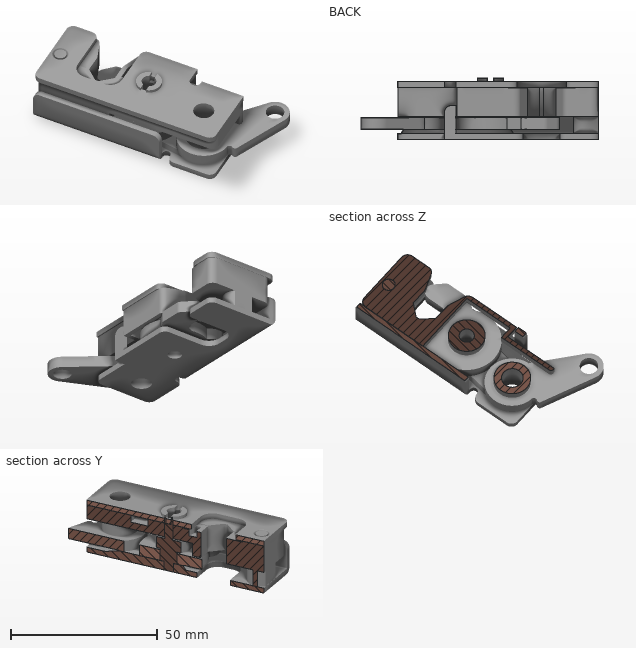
import cadquery as cq
import math

LENGTH = 68.45
WIDTH = 28.0
SHEET = 2.0
CORNER_R = 2.5
COVER_TOP = 19.85
COVER_BOTTOM = COVER_TOP - SHEET

LATCH_AXIS = (36.9, 14.5)
LEVER_AXIS = (59.5, 11.0)
RIVET_AXIS = (3.5, 13.8)

MOUTH_X = 19.45
COVER_MOUTH_W = 16.85
MOUTH_FLOOR = 7.5
MOUTH_FLOOR_R = 4.45
BRACKET_MOUTH_W = 12.6
MOUTH_LIP_R = 2.4

TAB_X0 = 48.6
TAB_W = 4.0
TAB_X1 = TAB_X0 + TAB_W
NOTCH_FLOOR = 20.5
COVER_STEP_Y = 23.4
BRACKET_STEP_Y = 23.9

FLANGE_LENGTH = 47.95
FLANGE_TOP = 11.7
BEND_INNER_R = 0.4
BEND_OUTER_R = BEND_INNER_R + SHEET
RELIEF_W = 2.9
RELIEF_DEPTH = 4.05
EMBOSS_TOP = 3.5
EMBOSS_R = 7.85
EMBOSS_DRAFT = 30.0

ARM_BOTTOM = EMBOSS_TOP
ARM_THICKNESS = 4.05
ARM_TOP = ARM_BOTTOM + ARM_THICKNESS

HOUSING_BOTTOM = 7.85
HOUSING_ROOF = 12.6
HOUSING_X0 = 0.1
HOUSING_X1 = 68.4
HOUSING_Y1 = 27.7
HOUSING_STEP_Y = 22.9
HOUSING_BLOCK_X = 27.8
WALL = 1.7
POST_R = 5.0

PIN_D = 9.1
JOURNAL_D = 10.5
SHOULDER_D = 12.7
SHOULDER_BOTTOM = 7.85
SHOULDER_TOP = 12.2
SLOT_FLOOR = COVER_BOTTOM
LATCH_PIN_TOP = 21.0
LATCH_PIN_D = 8.9
LATCH_PIN_BORE = 5.0
LATCH_PIN_SLOT = 2.1
LATCH_KEY_TIP = 3.6
LEVER_PIN_BORE = 7.2
LEVER_PIN_SLOT = 1.8
LEVER_KEY_TIP = 3.5

RIVET_D = 4.2
RIVET_SINK_D = 5.6
RIVET_SINK_DEPTH = (RIVET_SINK_D - RIVET_D) / 2


REACH = 0.04


def box(x0, x1, y0, y1, z0, z1):
    """Axis-aligned block between the given limits."""
    return cq.Workplane("XY").box(x1 - x0, y1 - y0, z1 - z0, centered=False).translate((x0, y0, z0))


def cylinder(axis, diameter, z0, z1):
    """Upright cylinder on a pivot axis."""
    return cq.Workplane("XY", origin=(*axis, z0)).circle(diameter / 2).extrude(z1 - z0)


def prism(points, z0, z1):
    """Upright prism over a closed polygon."""
    return cq.Workplane("XY", origin=(0, 0, z0)).polyline(points).close().extrude(z1 - z0)


def round_upright_edges(solid, radius, *places):
    """Round the vertical edges that stand at the given (x, y) places."""
    for x, y in places:
        picker = cq.selectors.BoxSelector((x - REACH, y - REACH, 0), (x + REACH, y + REACH, LATCH_PIN_TOP))
        solid = solid.edges("|Z").edges(picker).fillet(radius)
    return solid


def mouth_cut(sheet, width, z0, z1):
    """Cut the striker mouth into a sheet and round its floor corners and lips."""
    x0 = MOUTH_X - width / 2
    x1 = MOUTH_X + width / 2
    sheet = sheet.cut(box(x0, x1, MOUTH_FLOOR, WIDTH, z0, z1))
    sheet = round_upright_edges(sheet, MOUTH_FLOOR_R, (x0, MOUTH_FLOOR), (x1, MOUTH_FLOOR))
    return round_upright_edges(sheet, MOUTH_LIP_R, (x0, WIDTH), (x1, WIDTH))


def keyed_hole(axis, diameter, key_width, key_tip):
    """Pin hole whose two keys reach into the slot of the pin and stop it turning."""
    x, y = axis
    hole = cylinder(axis, diameter, COVER_BOTTOM, COVER_TOP)
    for y0, y1 in ((y - diameter, y - key_tip), (y + key_tip, y + diameter)):
        hole = hole.cut(box(x - key_width / 2, x + key_width / 2, y0, y1, COVER_BOTTOM, COVER_TOP))
    return hole


def make_cover():
    z0 = COVER_BOTTOM
    z1 = COVER_TOP
    outline = [
        (0, 0),
        (LENGTH, 0),
        (LENGTH, COVER_STEP_Y),
        (TAB_X1, COVER_STEP_Y),
        (TAB_X1, WIDTH),
        (0, WIDTH),
    ]
    cover = round_upright_edges(prism(outline, z0, z1), CORNER_R, (0, 0), (LENGTH, 0), (0, WIDTH))
    cover = mouth_cut(cover, COVER_MOUTH_W, z0, z1)

    notch_r = TAB_W / 2
    notch_centre = (TAB_X0 + notch_r, NOTCH_FLOOR + notch_r)
    cover = cover.cut(cylinder(notch_centre, TAB_W, z0, z1))
    cover = cover.cut(box(TAB_X0, TAB_X1, notch_centre[1], WIDTH, z0, z1))

    cover = cover.cut(keyed_hole(LATCH_AXIS, LATCH_PIN_D, LATCH_PIN_SLOT, LATCH_KEY_TIP))
    cover = cover.cut(keyed_hole(LEVER_AXIS, PIN_D, LEVER_PIN_SLOT, LEVER_KEY_TIP))
    cover = cover.cut(cylinder(RIVET_AXIS, RIVET_D, z0, z1))
    sink = (
        cq.Workplane("XY", origin=(*RIVET_AXIS, z1 - RIVET_SINK_DEPTH))
        .circle(RIVET_D / 2)
        .workplane(offset=RIVET_SINK_DEPTH)
        .circle(RIVET_SINK_D / 2)
        .loft()
    )
    return cover.cut(sink)


def bearing_land():
    """Raised land with sloping sides that wraps both pivots."""
    height = EMBOSS_TOP - SHEET
    top_r = EMBOSS_R - height * math.tan(math.radians(EMBOSS_DRAFT))
    dx = LEVER_AXIS[0] - LATCH_AXIS[0]
    dy = LEVER_AXIS[1] - LATCH_AXIS[1]
    spacing = math.hypot(dx, dy)
    angle = math.degrees(math.atan2(dy, dx))
    return (
        cq.Workplane("XY", origin=(0, 0, SHEET))
        .center((LATCH_AXIS[0] + LEVER_AXIS[0]) / 2, (LATCH_AXIS[1] + LEVER_AXIS[1]) / 2)
        .slot2D(spacing + 2 * EMBOSS_R, 2 * EMBOSS_R, angle)
        .workplane(offset=height)
        .slot2D(spacing + 2 * top_r, 2 * top_r, angle)
        .loft()
    )


def make_bracket():
    outline = [
        (0, 0),
        (LENGTH, 0),
        (LENGTH, BRACKET_STEP_Y),
        (TAB_X1, BRACKET_STEP_Y),
        (TAB_X1, WIDTH),
        (0, WIDTH),
    ]
    base = prism(outline, 0, SHEET)
    base = round_upright_edges(base, CORNER_R, (LENGTH, 0), (LENGTH, BRACKET_STEP_Y), (0, WIDTH))
    base = mouth_cut(base, BRACKET_MOUTH_W, 0, SHEET)

    flange = box(0, FLANGE_LENGTH, 0, SHEET, 0, FLANGE_TOP).edges("|Y and >Z").fillet(CORNER_R)
    tab = box(TAB_X0, TAB_X1, WIDTH - SHEET, WIDTH, 0, FLANGE_TOP).edges("|Y and >Z and >X").fillet(CORNER_R)

    relief_x1 = FLANGE_LENGTH + RELIEF_W
    relief_end = (FLANGE_LENGTH + RELIEF_W / 2, RELIEF_DEPTH - RELIEF_W / 2)
    relief = box(FLANGE_LENGTH, relief_x1, 0, relief_end[1], 0, SHEET)
    relief = relief.union(cylinder(relief_end, RELIEF_W, 0, SHEET))
    base = round_upright_edges(base.cut(relief), CORNER_R, (relief_x1, 0))

    bracket = base.union(flange).union(tab)
    outer_bend = cq.selectors.BoxSelector((0, -REACH, -REACH), (FLANGE_LENGTH, REACH, REACH))
    bracket = bracket.edges("|X").edges(outer_bend).fillet(BEND_OUTER_R)
    for y in (SHEET, WIDTH - SHEET):
        inner_bend = cq.selectors.BoxSelector((0, y - REACH, SHEET - REACH), (LENGTH, y + REACH, SHEET + REACH))
        bracket = bracket.edges("|X").edges(inner_bend).fillet(BEND_INNER_R)

    bracket = bracket.union(bearing_land())
    for axis in (LATCH_AXIS, LEVER_AXIS):
        bracket = bracket.cut(cylinder(axis, PIN_D, 0, EMBOSS_TOP))
    return bracket.cut(cylinder(RIVET_AXIS, RIVET_D, 0, SHEET))


THROAT_HALF_W = 4.9
THROAT_TOP_Y = 19.8
THROAT_FLOOR_Y = 13.4
THROAT_V_Y = 9.6
THROAT_V_HALF_W = 0.65
FLARE_HALF_W = 7.8
CAVITY_Y0 = 15.15
CAVITY_X1 = 51.3
CAVITY_DEPTH = 2.4
CAVITY_BOSS_D = 18.0
REAR_WALL_END_R = 1.0
CHEEK_HALF_W = 11.35
CHEEK_STEP = 0.2


def mouth_profile():
    """Right half of the housing mouth mirrored into a full outline."""
    right = [
        (THROAT_V_HALF_W, THROAT_V_Y),
        (THROAT_HALF_W, THROAT_FLOOR_Y),
        (THROAT_HALF_W, THROAT_TOP_Y),
        (FLARE_HALF_W, HOUSING_Y1),
    ]
    left = [(-x, y) for x, y in reversed(right)]
    return [(MOUTH_X + x, y) for x, y in right + left]


def make_housing():
    body_y0 = SHEET
    step_x = TAB_X0 - BEND_INNER_R
    outline = [
        (HOUSING_X0, body_y0),
        (HOUSING_X1, body_y0),
        (HOUSING_X1, HOUSING_STEP_Y),
        (step_x, HOUSING_STEP_Y),
        (step_x, HOUSING_Y1),
        (HOUSING_X0, HOUSING_Y1),
    ]
    housing = prism(outline, HOUSING_BOTTOM, COVER_BOTTOM)
    housing = round_upright_edges(
        housing, CORNER_R, (HOUSING_X0, body_y0), (HOUSING_X1, body_y0), (HOUSING_X0, HOUSING_Y1)
    )

    for x1, rear in ((step_x - WALL, HOUSING_Y1), (HOUSING_X1, HOUSING_STEP_Y)):
        housing = housing.cut(box(HOUSING_BLOCK_X, x1, 0, rear - WALL, HOUSING_BOTTOM, HOUSING_ROOF))
    housing = round_upright_edges(housing, REAR_WALL_END_R, (HOUSING_X1, HOUSING_STEP_Y - WALL))

    housing = housing.cut(prism(mouth_profile(), HOUSING_BOTTOM, COVER_BOTTOM))
    lips = [(MOUTH_X + side * FLARE_HALF_W, HOUSING_Y1) for side in (-1, 1)]
    housing = round_upright_edges(housing, MOUTH_LIP_R, *lips)

    cheek_x0 = MOUTH_X - CHEEK_HALF_W
    cheek_x1 = MOUTH_X + CHEEK_HALF_W
    cheek_z = COVER_BOTTOM - CHEEK_STEP
    housing = housing.cut(box(cheek_x0, cheek_x1, THROAT_FLOOR_Y, WIDTH, cheek_z, COVER_BOTTOM))

    flare_slope = (FLARE_HALF_W - THROAT_HALF_W) / (HOUSING_Y1 - THROAT_TOP_Y)
    cavity_x0 = MOUTH_X + THROAT_HALF_W + WALL
    cavity_y1 = HOUSING_Y1 - WALL
    cavity_outline = [
        (cavity_x0, CAVITY_Y0),
        (cavity_x0, THROAT_TOP_Y),
        (cavity_x0 + flare_slope * (cavity_y1 - THROAT_TOP_Y), cavity_y1),
        (step_x - WALL, cavity_y1),
        (step_x - WALL, HOUSING_STEP_Y - WALL),
        (CAVITY_X1, HOUSING_STEP_Y - WALL),
        (CAVITY_X1, CAVITY_Y0),
    ]
    cavity_floor = COVER_BOTTOM - CAVITY_DEPTH
    cavity = prism(cavity_outline, cavity_floor, COVER_BOTTOM)
    cavity = cavity.cut(cylinder(LATCH_AXIS, CAVITY_BOSS_D, cavity_floor, COVER_BOTTOM))
    housing = housing.cut(cavity)

    post = cylinder(RIVET_AXIS, 2 * POST_R, SHEET, HOUSING_BOTTOM)
    post = post.intersect(box(HOUSING_X0, LENGTH, 0, WIDTH, SHEET, HOUSING_BOTTOM))
    housing = housing.union(post)

    housing = housing.cut(cylinder(LATCH_AXIS, LATCH_PIN_D, 0, COVER_TOP))
    housing = housing.cut(cylinder(LEVER_AXIS, PIN_D, 0, COVER_TOP))
    return housing.cut(cylinder(RIVET_AXIS, RIVET_D, 0, COVER_TOP))


CLAW_HUB_R = 12.0
JAW_TIP_R = 3.1
JAW_TIP = (16.45, 22.4)
JAW_X = 17.8
JAW_BEVEL_R = 1.95
JAW_X1 = 26.4
JAW_BACK_ANGLE = 31.0
JAW_ROOT_R = 2.6
JAW_ROOT_X = 24.7
LOBE_X0 = 24.6
LOBE_Y0 = 2.3
LOBE_Y1 = 9.9
LOBE_UPPER_R = 4.4
LOBE_LOWER_R = 1.95


def make_claw():
    jaw_y0 = JAW_TIP[1] - JAW_TIP_R
    back_y = WIDTH - (LATCH_AXIS[0] - JAW_X1) * math.tan(math.radians(JAW_BACK_ANGLE))
    diagonal = JAW_TIP_R * math.sqrt(0.5)
    jaw = (
        cq.Workplane("XY", origin=(0, 0, ARM_BOTTOM))
        .moveTo(JAW_X, WIDTH)
        .lineTo(JAW_TIP[0] - diagonal, JAW_TIP[1] + diagonal)
        .threePointArc((JAW_TIP[0] - diagonal, JAW_TIP[1] - diagonal), (JAW_TIP[0], jaw_y0))
        .lineTo(JAW_ROOT_X - JAW_ROOT_R, jaw_y0)
        .radiusArc((JAW_ROOT_X, jaw_y0 - JAW_ROOT_R), JAW_ROOT_R)
        .lineTo(LATCH_AXIS[0], LATCH_AXIS[1])
        .lineTo(LATCH_AXIS[0], back_y)
        .lineTo(JAW_X1, WIDTH)
        .close()
        .extrude(ARM_THICKNESS)
    )
    jaw = round_upright_edges(jaw, JAW_BEVEL_R, (JAW_X, WIDTH))
    lobe = box(LOBE_X0, LATCH_AXIS[0], LOBE_Y0, LOBE_Y1, ARM_BOTTOM, ARM_TOP)
    lobe = round_upright_edges(lobe, LOBE_UPPER_R, (LOBE_X0, LOBE_Y1))
    lobe = round_upright_edges(lobe, LOBE_LOWER_R, (LOBE_X0, LOBE_Y0))
    claw = jaw.union(lobe).union(cylinder(LATCH_AXIS, 2 * CLAW_HUB_R, ARM_BOTTOM, ARM_TOP))
    return claw.cut(cylinder(LATCH_AXIS, JOURNAL_D, ARM_BOTTOM, ARM_TOP))


LEVER_HUB_R = 9.4
LEVER_EYE = (76.0, 32.3)
LEVER_EYE_R = 5.0
LEVER_EYE_BORE = 6.3
LEVER_REAR_ANGLE = 49.6
LEVER_REAR_RUN = 25.9
LEVER_FRONT_ANGLE = 66.2
LEVER_FRONT_RUN = 21.7
HEEL_R = 0.7
GROOVE_R = 1.0
GROOVE = (69.9, 10.0)


def make_lever():
    eye_x, eye_y = LEVER_EYE
    rear = math.radians(LEVER_REAR_ANGLE)
    front = math.radians(LEVER_FRONT_ANGLE)
    rear_top = (eye_x - LEVER_EYE_R * math.sin(rear), eye_y + LEVER_EYE_R * math.cos(rear))
    rear_root = (
        rear_top[0] - LEVER_REAR_RUN * math.cos(rear),
        rear_top[1] - LEVER_REAR_RUN * math.sin(rear),
    )
    front_top = (eye_x + LEVER_EYE_R * math.sin(front), eye_y - LEVER_EYE_R * math.cos(front))
    heel = (
        front_top[0] - LEVER_FRONT_RUN * math.cos(front),
        front_top[1] - LEVER_FRONT_RUN * math.sin(front),
    )
    arm = prism([rear_root, LEVER_AXIS, heel, front_top, rear_top], ARM_BOTTOM, ARM_TOP)
    arm = round_upright_edges(arm, HEEL_R, heel)
    arm = arm.union(cylinder(LEVER_EYE, 2 * LEVER_EYE_R, ARM_BOTTOM, ARM_TOP))

    lever = arm.union(cylinder(LEVER_AXIS, 2 * LEVER_HUB_R, ARM_BOTTOM, ARM_TOP))
    lever = lever.cut(cylinder(GROOVE, 2 * GROOVE_R, ARM_BOTTOM, ARM_TOP))
    lever = lever.cut(cylinder(LEVER_EYE, LEVER_EYE_BORE, ARM_BOTTOM, ARM_TOP))
    return lever.cut(cylinder(LEVER_AXIS, JOURNAL_D, ARM_BOTTOM, ARM_TOP))


def shouldered_pin(axis, upper_d, top, bore, slot):
    """Hollow pivot pin: foot in the bracket, journal, shoulder and slotted head."""
    pin = cylinder(axis, PIN_D, 0, EMBOSS_TOP)
    pin = pin.union(cylinder(axis, JOURNAL_D, EMBOSS_TOP, SHOULDER_BOTTOM))
    pin = pin.union(cylinder(axis, SHOULDER_D, SHOULDER_BOTTOM, SHOULDER_TOP))
    pin = pin.union(cylinder(axis, upper_d, SHOULDER_TOP, top))
    pin = pin.cut(cylinder(axis, bore, 0, top))
    x, y = axis
    return pin.cut(box(x - slot / 2, x + slot / 2, y - upper_d, y + upper_d, SLOT_FLOOR, top))


def make_latch_pin():
    return shouldered_pin(LATCH_AXIS, LATCH_PIN_D, LATCH_PIN_TOP, LATCH_PIN_BORE, LATCH_PIN_SLOT)


def make_lever_pin():
    return shouldered_pin(LEVER_AXIS, PIN_D, COVER_TOP, LEVER_PIN_BORE, LEVER_PIN_SLOT)


def make_rivet():
    return cylinder(RIVET_AXIS, RIVET_D, 0, COVER_TOP)


cover = make_cover()
bracket = make_bracket()
housing = make_housing()
claw = make_claw()
lever = make_lever()
latch_pin = make_latch_pin()
lever_pin = make_lever_pin()
rivet = make_rivet()

result = cq.Compound.makeCompound(
    [
        cover.val(),
        bracket.val(),
        housing.val(),
        claw.val(),
        lever.val(),
        latch_pin.val(),
        lever_pin.val(),
        rivet.val(),
    ]
)